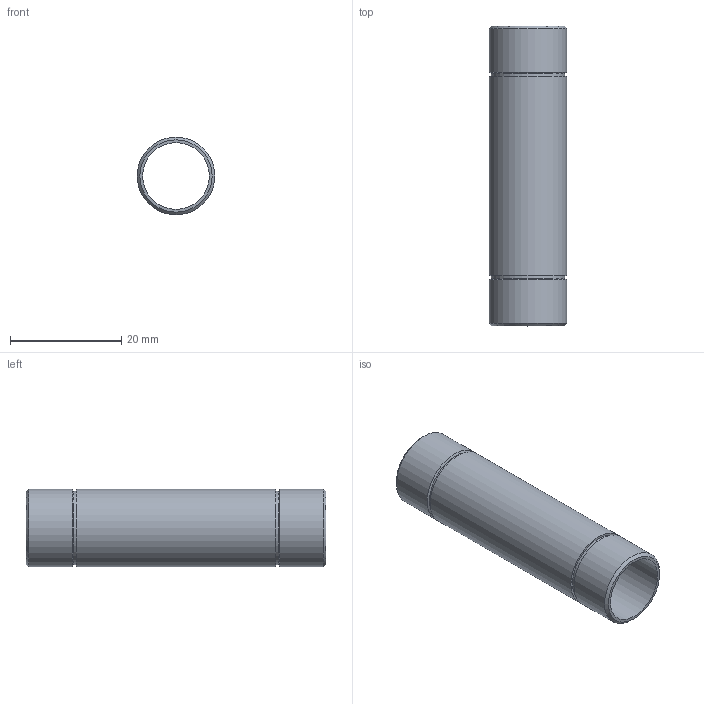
import cadquery as cq

length = 54.0
outer_diameter = 14.0
bore_diameter = 12.0
end_chamfer = 0.5
groove_diameter = 13.2
groove_width = 0.78
groove_slope = 0.2
collar_length = 8.3

half_length = length / 2
outer_radius = outer_diameter / 2
bore_radius = bore_diameter / 2
groove_radius = groove_diameter / 2


def make_tube():
    """Plain tube with its outer rims chamfered."""
    return (
        cq.Workplane("XZ", origin=(0, half_length, 0))
        .circle(outer_radius)
        .extrude(length)
        .faces("<Y or >Y")
        .chamfer(end_chamfer)
        .faces("<Y")
        .workplane()
        .circle(bore_radius)
        .cutThruAll()
    )


def make_groove_cutter():
    """Ring for the groove near the +Y end: one square wall, one sloped wall."""
    mouth_outer = half_length - collar_length
    mouth_inner = mouth_outer - groove_width
    return (
        cq.Workplane("YZ")
        .moveTo(mouth_inner, groove_radius)
        .lineTo(mouth_outer - groove_slope, groove_radius)
        .lineTo(mouth_outer, outer_radius)
        .lineTo(mouth_inner, outer_radius)
        .close()
        .revolve(360, (0, 0, 0), (1, 0, 0))
    )


groove_cutter = make_groove_cutter()
result = make_tube().cut(groove_cutter).cut(groove_cutter.mirror("XZ"))